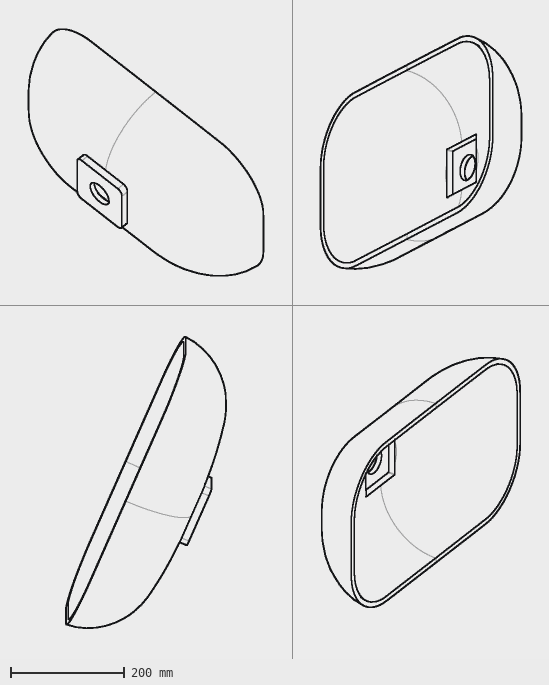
import cadquery as cq
import math

RIM_LENGTH = 535.0
RIM_HEIGHT = 330.0
RIM_CORNER_RADIUS = 112.0

TOTAL_DEPTH = 141.0
BOWL_DEPTH = 128.0
WALL = 10.0
END_RADIUS = 118.0
FLOOR_LENGTH = 100.0
FLOOR_ROUNDNESS = 0.9
END_STEPS = 8
FLOOR_STEPS = 6
ARC_STEPS = 4

PAD_SIZE = 111.0
PAD_CORNER_RADIUS = 11.0
PAD_ROOT = 5.0
DRAIN_DIAMETER = 46.5

FLOOR_CENTRE_INSET = (RIM_LENGTH - FLOOR_LENGTH) / 2
JOIN_TILT = 2 * math.atan((BOWL_DEPTH - END_RADIUS) / (FLOOR_CENTRE_INSET - END_RADIUS))
FLOOR_ARC_RADIUS = END_RADIUS + (FLOOR_CENTRE_INSET - END_RADIUS) / math.sin(JOIN_TILT)


def side_inset(depth, offset):
    """Inset in Z at a depth: one quarter circle as deep as the bowl."""
    radius = BOWL_DEPTH - offset
    return BOWL_DEPTH - math.sqrt(radius**2 - depth**2)


def end_inset(depth, offset):
    """Inset in X at a depth: the end arc, then the shallow floor arc."""
    end_radius = END_RADIUS - offset
    if depth <= end_radius * math.cos(JOIN_TILT):
        return END_RADIUS - math.sqrt(end_radius**2 - depth**2)
    arc_radius = FLOOR_ARC_RADIUS - offset
    rise = depth + FLOOR_ARC_RADIUS - BOWL_DEPTH
    return FLOOR_CENTRE_INSET - math.sqrt(max(arc_radius**2 - rise**2, 0.0))


def corner_radius(half_z, depth, offset):
    """Corner radius of a section: relatively rounder toward the floor."""
    rim_roundness = (RIM_CORNER_RADIUS - offset) / (RIM_HEIGHT / 2 - offset)
    fraction = depth / (BOWL_DEPTH - offset)
    return half_z * (rim_roundness + (FLOOR_ROUNDNESS - rim_roundness) * fraction)


def half_section(depth, offset):
    """Right half of a rounded rectangle, cut through the bowl parallel to the rim."""
    half_x = RIM_LENGTH / 2 - end_inset(depth, offset)
    half_z = RIM_HEIGHT / 2 - side_inset(depth, offset)
    radius = corner_radius(half_z, depth, offset)
    points = [(0, -half_z)]
    tangents = [(1, 0)]
    for start, side in ((-math.pi / 2, -1), (0, 1)):
        for step in range(ARC_STEPS + 1):
            angle = start + math.pi / 2 * step / ARC_STEPS
            x = half_x - radius + radius * math.cos(angle)
            z = side * (half_z - radius) + radius * math.sin(angle)
            points.append((x, z))
            tangents.append((-math.sin(angle), math.cos(angle)))
    points.append((0, half_z))
    tangents.append((-1, 0))
    outline = cq.Workplane("XZ", origin=(0, -depth, 0)).spline(points, tangents=tangents)
    return outline.close().val()


def section_depths(offset):
    """Depths of the lofted sections, evenly spaced along the end and floor arcs."""
    end_sweep = math.pi / 2 - JOIN_TILT
    end_angles = [end_sweep * step / END_STEPS for step in range(END_STEPS)]
    floor_tilts = [JOIN_TILT * step / FLOOR_STEPS for step in range(FLOOR_STEPS, -1, -1)]
    floor_radius = FLOOR_ARC_RADIUS - offset
    end_depths = [(END_RADIUS - offset) * math.sin(angle) for angle in end_angles]
    floor_depths = [BOWL_DEPTH - offset - floor_radius * (1 - math.cos(tilt)) for tilt in floor_tilts]
    return end_depths + floor_depths


def half_bowl_body(offset):
    """Right half of the filled bowl, shrunk inward by the offset."""
    sections = [half_section(depth, offset) for depth in section_depths(offset)]
    return cq.Workplane(cq.Solid.makeLoft(sections))


def bowl():
    right_half = half_bowl_body(0).cut(half_bowl_body(WALL))
    return right_half.union(right_half.mirror("YZ"), clean=False)


def square_block(size, radius, near_depth, far_depth):
    """Block with rounded corners between two depths behind the rim."""
    block = cq.Workplane("XZ", origin=(0, -near_depth, 0)).rect(size, size)
    return block.extrude(far_depth - near_depth).edges("|Y").fillet(radius)


def drain_pad():
    return square_block(PAD_SIZE, PAD_CORNER_RADIUS, BOWL_DEPTH - PAD_ROOT, TOTAL_DEPTH)


def pad_pocket():
    """Hollow inside the pad that leaves one wall thickness all round."""
    near_depth = BOWL_DEPTH - 2 * WALL
    return square_block(PAD_SIZE - 2 * WALL, PAD_CORNER_RADIUS - WALL, near_depth, TOTAL_DEPTH - WALL)


def drain_hole():
    return cq.Workplane("XZ").circle(DRAIN_DIAMETER / 2).extrude(TOTAL_DEPTH)


basin = bowl().union(drain_pad(), clean=False)
basin = basin.cut(pad_pocket(), clean=False).cut(drain_hole(), clean=False)
result = basin.solids()